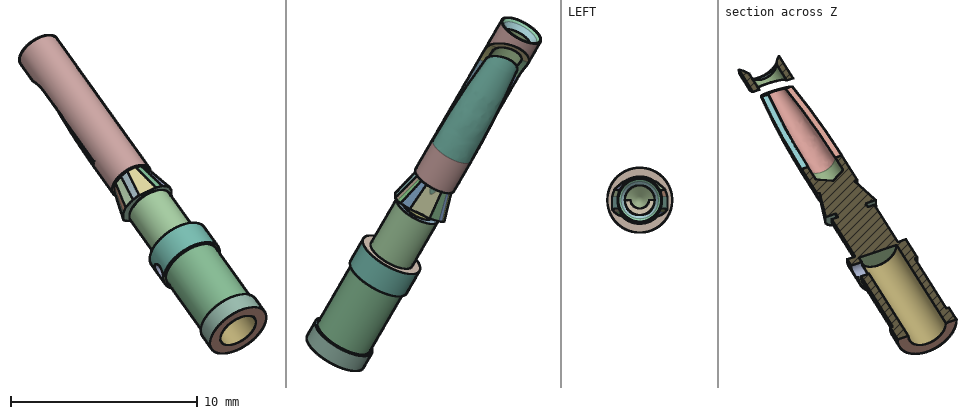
import cadquery as cq
import math


tube_end = 10.0
collar_end = 11.75
neck_end = 12.0
body_end = 15.0
flange_end = 16.5
barrel_end = 20.5
total_length = 21.5

tube_radius = 1.2
neck_radius = 0.9
body_radius = 1.275
flange_radius = 1.75
barrel_radius = 1.6

socket_radius = 0.8
socket_depth = 9.0
drill_point_angle = 118.0
rim_width = 0.05
lead_in_radius = 1.0
lead_in_end = 0.5

slot_end = 8.0
slot_top = 0.22
tongue_top = 0.0
tongue_top_start = 2.3
opening_start = 0.5
opening_bend_radius = 1.8
slope_angle = math.radians(45)
tongue_tip_drop = 0.38
tongue_tip_x = 1.6
clearance = 0.2

wire_bore_radius = 1.1
wire_bore_start = 15.2
inspection_x = 16.0
inspection_diameter = 0.9

collar_small_end = [
    (0.26, 1.08), (0.65, 0.86), (0.98, 0.48), (1.05, 0.21),
    (1.03, -0.42), (0.88, -0.61), (0.75, -0.72), (0.45, -0.87),
]
collar_flared_end = [
    (0.52, 1.10), (0.91, 0.98), (1.36, 0.58), (1.49, 0.18),
    (1.50, -0.48), (1.36, -0.65), (1.16, -0.80), (0.60, -0.98),
]


def make_turned_body():
    """Solid of revolution without any bores."""
    sections = [
        (0.0, tube_end, tube_radius),
        (tube_end, neck_end, neck_radius),
        (neck_end, body_end, body_radius),
        (body_end, flange_end, flange_radius),
        (flange_end, barrel_end, barrel_radius),
        (barrel_end, total_length, flange_radius),
    ]
    outline = cq.Workplane("XY").moveTo(0, 0)
    for start, end, radius in sections:
        outline = outline.lineTo(start, radius).lineTo(end, radius)
    return outline.lineTo(total_length, 0).close().revolve(360, (0, 0, 0), (1, 0, 0))


def mirrored_section(corners):
    """Closed outline in the YZ plane, from the corners of its +Y half."""
    other_half = [(-y, z) for y, z in reversed(corners)]
    return corners + other_half


def make_collar():
    """Flared collar with straight-ruled facets."""
    return (
        cq.Workplane("YZ", origin=(tube_end, 0, 0))
        .polyline(mirrored_section(collar_small_end)).close()
        .workplane(offset=collar_end - tube_end)
        .polyline(mirrored_section(collar_flared_end)).close()
        .loft(ruled=True)
    )


def make_socket_bore():
    """Drilled socket with a lead-in chamfer at its mouth."""
    mouth_radius = tube_radius - rim_width
    chamfer_depth = mouth_radius - lead_in_radius
    point_length = socket_radius / math.tan(math.radians(drill_point_angle / 2))
    return (
        cq.Workplane("XY")
        .moveTo(0, 0)
        .lineTo(0, mouth_radius)
        .lineTo(chamfer_depth, lead_in_radius)
        .lineTo(lead_in_end, socket_radius)
        .lineTo(socket_depth, socket_radius)
        .lineTo(socket_depth + point_length, 0)
        .close()
        .revolve(360, (0, 0, 0), (1, 0, 0))
    )


def make_opening():
    """Sideways cut that clears the lower half of the tube: a slope bent into a slot."""
    corner_x = opening_start + (tube_radius + slot_top) / math.tan(slope_angle)
    tangent_length = opening_bend_radius * math.tan(slope_angle / 2)
    bend_start = (
        corner_x - tangent_length * math.cos(slope_angle),
        slot_top - tangent_length * math.sin(slope_angle),
    )
    bend_end = (corner_x + tangent_length, slot_top)
    bottom = -tube_radius - clearance
    bottom_start = opening_start - clearance / math.tan(slope_angle)
    return (
        cq.Workplane("XZ")
        .moveTo(bottom_start, bottom)
        .lineTo(*bend_start)
        .radiusArc(bend_end, opening_bend_radius)
        .lineTo(slot_end, slot_top)
        .lineTo(slot_end, bottom)
        .close()
        .extrude(2 * tube_radius, both=True)
    )


def make_tongue():
    """Lower half-shell that curves inward toward its free tip, which is cut off along the slope."""
    length = slot_end - tongue_tip_x
    curve_radius = (length**2 + tongue_tip_drop**2) / (2 * tongue_tip_drop)
    blank_start = tongue_top_start - (tongue_top + tube_radius) / math.tan(slope_angle)
    blank_length = slot_end - blank_start
    blank_drop = curve_radius - math.sqrt(curve_radius**2 - blank_length**2)
    shell = (
        cq.Workplane("XY")
        .moveTo(slot_end, socket_radius)
        .lineTo(slot_end, tube_radius)
        .radiusArc((blank_start, tube_radius - blank_drop), -curve_radius)
        .lineTo(blank_start, socket_radius - blank_drop)
        .radiusArc((slot_end, socket_radius), curve_radius)
        .close()
        .revolve(360, (0, 0, 0), (1, 0, 0))
    )
    kept_side = (
        cq.Workplane("XZ")
        .moveTo(tongue_top_start, tongue_top)
        .lineTo(slot_end, tongue_top)
        .lineTo(slot_end, -tube_radius)
        .lineTo(blank_start, -tube_radius)
        .close()
        .extrude(2 * tube_radius, both=True)
    )
    return shell.intersect(kept_side)


def make_wire_bore():
    """Wire bore, open at the far end."""
    return (
        cq.Workplane("YZ", origin=(wire_bore_start, 0, 0))
        .circle(wire_bore_radius)
        .extrude(total_length - wire_bore_start)
    )


def make_inspection_hole():
    """Cross hole from the -Y side into the wire bore."""
    return (
        cq.Workplane("XZ")
        .center(inspection_x, 0)
        .circle(inspection_diameter / 2)
        .extrude(flange_radius)
    )


result = (
    make_turned_body()
    .union(make_collar())
    .cut(make_socket_bore())
    .cut(make_opening())
    .union(make_tongue())
    .cut(make_wire_bore())
    .cut(make_inspection_hole())
)